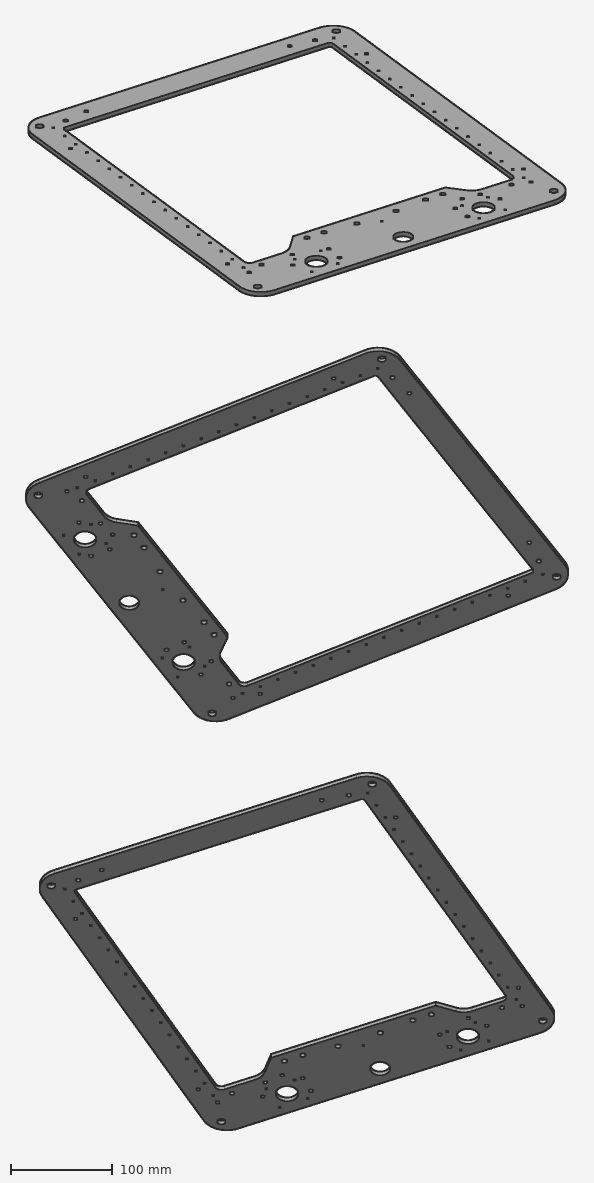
import cadquery as cq

length = 420.0
width = 380.0
thickness = 5.0
outer_corner_radius = 25.0

window_left = -179.5
window_right = 151.5
window_half_width = 158.5
window_left_corner_radius = 3.0
window_right_corner_radius = 6.5
tab_edge = 129.0
tab_tip_half_width = 90.0
tab_root_half_width = 110.0
tab_root_radius = 19.0

pilot_diameter = 2.0
screw_diameter = 3.8
rail_hole_diameter = 4.0
clearance_diameter = 4.5
tab_hole_diameter = 5.5
corner_hole_diameter = 8.0
motor_bore_diameter = 22.3
centre_bore_diameter = 19.7

corner_hole_x = 195.0
corner_hole_y = 175.0
rear_right_corner_hole_x = 193.5

row_count = 18
row_start_x = -185.0
row_end_x = 155.0
row_y = 165.5

motor_x = 184.0
motor_y = 98.5
motor_screw_spacing = 30.5

screw_points = [
    (-140.3, 174.7),
    (140.3, 174.7),
    (166.5, 166.5),
    (159.5, 111.0),
    (177.5, 122.2),
    (169.5, 74.8),
]
tab_points = [
    (139.0, 80.2),
    (139.0, 60.0),
    (142.0, 23.0),
]
rail_points = [
    (-195.0, 120.0),
    (190.3, 75.5),
]
right_clearance_point = (160.0, 147.5)

rear_left_clearance_point = (-191.0, 147.5)
front_left_clearance_point = (-190.3, -147.5)
rear_tab_screw_point = (157.0, 91.0)
tab_pilot_point = (151.5, 0)
centre_bore_point = (190.0, 0)


def mirrored(points):
    """Return the points together with their reflections about the X axis."""
    return points + [(x, -y) for x, y in points]


def drill(body, points, diameter):
    """Cut round through holes at the given points."""
    holes = cq.Workplane("XY").pushPoints(points).circle(diameter / 2).extrude(thickness)
    return body.cut(holes)


def make_plate():
    plate = cq.Workplane("XY").box(length, width, thickness, centered=(True, True, False))
    return plate.edges("|Z").fillet(outer_corner_radius)


def round_corner(body, x, y, radius):
    """Fillet the vertical edge of the body at (x, y)."""
    nearest = cq.selectors.NearestToPointSelector((x, y, thickness / 2))
    return body.edges("|Z").edges(nearest).fillet(radius)


def make_window():
    window = (
        cq.Workplane("XY")
        .moveTo(window_left, -window_half_width)
        .lineTo(window_right, -window_half_width)
        .lineTo(window_right, -tab_root_half_width)
        .lineTo(tab_edge, -tab_tip_half_width)
        .lineTo(tab_edge, tab_tip_half_width)
        .lineTo(window_right, tab_root_half_width)
        .lineTo(window_right, window_half_width)
        .lineTo(window_left, window_half_width)
        .close()
        .extrude(thickness)
    )
    for side in (-1, 1):
        window = round_corner(window, window_right, side * tab_root_half_width, tab_root_radius)
        window = round_corner(window, window_left, side * window_half_width, window_left_corner_radius)
        window = round_corner(window, window_right, side * window_half_width, window_right_corner_radius)
    return window


row_pitch = (row_end_x - row_start_x) / (row_count - 1)
row_points = [(row_start_x + i * row_pitch, row_y) for i in range(row_count)]

motor_half = motor_screw_spacing / 2
motor_screw_points = [
    (motor_x + dx, motor_y + dy)
    for dx in (-motor_half, motor_half)
    for dy in (-motor_half, motor_half)
]

corner_points = [
    (-corner_hole_x, corner_hole_y),
    (-corner_hole_x, -corner_hole_y),
    (corner_hole_x, -corner_hole_y),
    (rear_right_corner_hole_x, corner_hole_y),
]

result = make_plate().cut(make_window())
result = drill(result, mirrored(row_points + motor_screw_points) + [tab_pilot_point], pilot_diameter)
result = drill(result, mirrored(screw_points) + [rear_tab_screw_point], screw_diameter)
result = drill(result, mirrored(rail_points), rail_hole_diameter)
result = drill(
    result,
    mirrored([right_clearance_point]) + [rear_left_clearance_point, front_left_clearance_point],
    clearance_diameter,
)
result = drill(result, mirrored(tab_points), tab_hole_diameter)
result = drill(result, corner_points, corner_hole_diameter)
result = drill(result, mirrored([(motor_x, motor_y)]), motor_bore_diameter)
result = drill(result, [centre_bore_point], centre_bore_diameter)